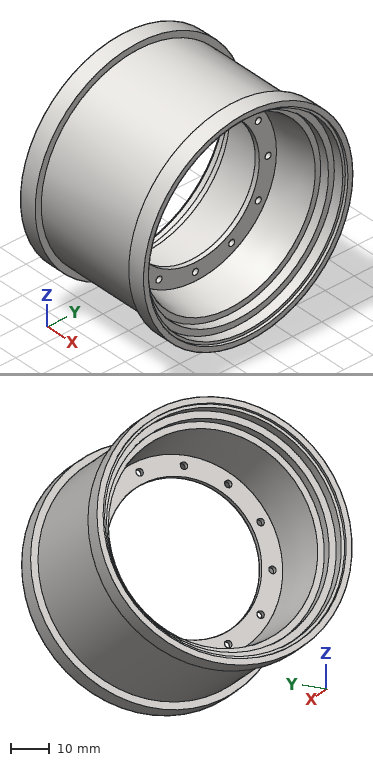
import cadquery as cq

width = 48.0
rim_radius = 36.0
rim_width = 5.75
barrel_radius = 33.9

mouth_steps = [(34.3, 1.4), (33.4, 6.0), (31.4, 10.2)]
seat_radius = 29.5

web_outer_radius = 27.9
web_bore_radius = 21.95
web_depth = 25.85
web_thickness = 1.6

bolt_count = 12
bolt_circle_radius = 25.0
bolt_hole_radius = 1.0

left_face = -width / 2
right_face = width / 2
web_front = left_face + web_depth
web_back = web_front + web_thickness


def mouth_outline(end_face, inward):
    """Points (x, radius) of the stepped mouth, from the end face to the seat."""
    points = []
    depth = 0
    for radius, next_depth in mouth_steps:
        points.append((end_face + inward * depth, radius))
        points.append((end_face + inward * next_depth, radius))
        depth = next_depth
    points.append((end_face + inward * depth, seat_radius))
    return points


def make_wheel():
    """Revolve the half section of rims, barrel, tapered bore and web."""
    outside = [
        (right_face, rim_radius),
        (right_face - rim_width, rim_radius),
        (right_face - rim_width, barrel_radius),
        (left_face + rim_width, barrel_radius),
        (left_face + rim_width, rim_radius),
        (left_face, rim_radius),
    ]
    web = [
        (web_front, web_outer_radius),
        (web_front, web_bore_radius),
        (web_back, web_bore_radius),
        (web_back, web_outer_radius),
    ]
    left_mouth = mouth_outline(left_face, 0.7)
    right_mouth = mouth_outline(right_face, -0.7)
    section = outside + left_mouth + web + right_mouth[::-1]
    return cq.Workplane("XY").polyline(section).close().revolve(360, (0, 0, 0), (1, 0, 0))


def make_bolt_holes():
    """Bolt holes through the web, evenly spaced from the Y axis."""
    return (
        cq.Workplane("YZ", origin=(web_front, 0, 0))
        .polarArray(bolt_circle_radius, 0, 360, bolt_count)
        .circle(bolt_hole_radius)
        .extrude(web_thickness)
    )


result = make_wheel().cut(make_bolt_holes())